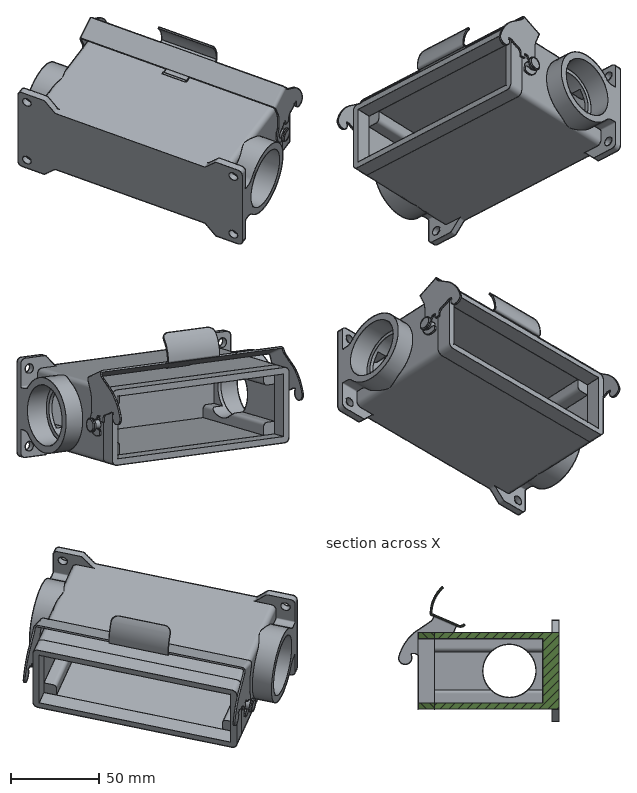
import cadquery as cq
import math

total_length = 143.5
half_length = total_length / 2

plate_height = 57.4
plate_thickness = 4.0
plate_corner_radius = 2.9
ear_width = 17.0
ear_bend_radius = 1.5
mount_hole_diameter = 5.5
mount_hole_spacing_x = 132.0
mount_hole_spacing_z = 44.9

body_length = 120.8
body_height = 43.6
body_depth = 79.8
body_corner_radius = 3.2
frame_depth = 9.2
frame_seam_y = body_depth - frame_depth
wall = 3.7
cavity_start_y = 9.3
cavity_length = body_length - 2 * wall
cavity_height = body_height - 2 * wall

post_length = 7.5
post_height = 7.3
post_edge_radius = 2.3

entry_y = 28.1
entry_outer_diameter = 43.3
entry_bore_diameter = 35.0
entry_bore_depth = 12.9
entry_through_diameter = 30.0
neck_height = 24.1
neck_fillet_radius = 5.7
foot_radius = 0.7

pin_y = 65.5
pin_diameter = 5.5
pin_head_diameter = 8.0
pin_head_thickness = 1.6
pin_head_chamfer = 0.6
pin_tip_x = 66.2

sheet = 1.0
lever_length = 125.4
lever_bend_radius = 2.0
web_width = 13.9
web_tilt = 23.4
web_back = (57.7, 26.4)
tab_overlap = 0.6
arm_straight_length = 9.8
arm_front_drop = 2.0
eye_lower_angle = -45.0
eye_upper_angle = 78.0
handle_width = 35.0
handle_corner_radius = 4.0
handle_radius = 20.5
handle_center = (52.5, 32.5)
handle_tip_angle = 48.4
lip_width = 14.8


def extrude_across(profile, width):
    """Extrude a closed YZ profile evenly to both sides of X = 0."""
    return profile.extrude(width / 2, both=True)


def rounded_block(length, height, y_start, y_end, radius):
    """Block along Y whose four long edges are rounded."""
    block = cq.Workplane("XY").box(length, y_end - y_start, height)
    return block.edges("|Y").fillet(radius).translate((0, (y_start + y_end) / 2, 0))


def make_mounting_plate():
    half_height = plate_height / 2
    waist_half_height = body_height / 2
    ear_x = half_length - ear_width
    waist_x = ear_x - (half_height - waist_half_height)
    right_side = [
        (waist_x, waist_half_height),
        (ear_x, half_height),
        (half_length, half_height),
        (half_length, -half_height),
        (ear_x, -half_height),
        (waist_x, -waist_half_height),
    ]
    left_side = [(-x, z) for x, z in reversed(right_side)]
    plate = cq.Workplane("XZ").polyline(right_side + left_side).close().extrude(-plate_thickness)
    plate = plate.edges("|Y").edges("<X or >X").fillet(plate_corner_radius)
    bend_limit_x = half_length - ear_width / 2
    ear_edges = cq.selectors.BoxSelector(
        (-bend_limit_x, 0, -plate_height), (bend_limit_x, plate_thickness, plate_height)
    )
    plate = plate.edges("|Y").edges(ear_edges).fillet(ear_bend_radius)
    holes = (
        cq.Workplane("XZ")
        .rect(mount_hole_spacing_x, mount_hole_spacing_z, forConstruction=True)
        .vertices()
        .circle(mount_hole_diameter / 2)
        .extrude(-plate_thickness)
    )
    return plate.cut(holes)


def make_entry_boss():
    """Round bosses of both ends as one bar, joined to the plate by a necked foot."""
    radius = entry_outer_diameter / 2
    half_neck = neck_height / 2
    fillet_z = half_neck + neck_fillet_radius
    reach = radius + neck_fillet_radius
    fillet_y = entry_y - math.sqrt(reach**2 - fillet_z**2)
    boss_share = radius / reach
    tangent_y = entry_y + (fillet_y - entry_y) * boss_share
    tangent_z = fillet_z * boss_share
    middle_angle = math.atan2(tangent_z - fillet_z, tangent_y - fillet_y) / 2 - math.pi / 4
    middle_y = fillet_y + neck_fillet_radius * math.cos(middle_angle)
    middle_z = fillet_z + neck_fillet_radius * math.sin(middle_angle)
    neck = (
        cq.Workplane("YZ")
        .moveTo(0, half_neck)
        .lineTo(fillet_y, half_neck)
        .threePointArc((middle_y, middle_z), (tangent_y, tangent_z))
        .lineTo(entry_y, 0)
        .lineTo(tangent_y, -tangent_z)
        .threePointArc((middle_y, -middle_z), (fillet_y, -half_neck))
        .lineTo(0, -half_neck)
        .close()
    )
    boss = cq.Workplane("YZ").center(entry_y, 0).circle(radius)
    return extrude_across(boss, total_length).union(extrude_across(neck, total_length))


def make_neck_foot():
    """Small round fillets above and below, where the neck meets the mounting plate."""
    edge_z = neck_height / 2
    outer_z = edge_z + foot_radius
    outer_y = plate_thickness + foot_radius
    arc_inset = foot_radius * (1 - math.sqrt(0.5))
    profile = (
        cq.Workplane("YZ")
        .moveTo(plate_thickness, edge_z)
        .lineTo(plate_thickness, outer_z)
        .threePointArc((plate_thickness + arc_inset, edge_z + arc_inset), (outer_y, edge_z))
        .close()
    )
    upper = extrude_across(profile, total_length)
    return upper.union(upper.mirror("XY"))


def make_cavity():
    """Pocket open to the front."""
    return cq.Workplane("XY").box(
        cavity_length, body_depth - cavity_start_y, cavity_height
    ).translate((0, (body_depth + cavity_start_y) / 2, 0))


def make_corner_posts():
    """Posts along the four inner corners of the housing pocket, rounded toward its middle."""
    depth = frame_seam_y - cavity_start_y
    posts = cq.Workplane("XY")
    for side_x, side_z in ((1, 1), (-1, 1), (-1, -1), (1, -1)):
        post = cq.Workplane("XY").box(post_length, depth, post_height)
        inner_x = "<X" if side_x > 0 else ">X"
        inner_z = "<Z" if side_z > 0 else ">Z"
        post = post.edges(f"({inner_x}) and ({inner_z})").fillet(post_edge_radius)
        center_x = side_x * (cavity_length - post_length) / 2
        center_z = side_z * (cavity_height - post_height) / 2
        posts = posts.add(post.translate((center_x, cavity_start_y + depth / 2, center_z)))
    return posts.combine()


def make_entry_bores():
    through = cq.Workplane("YZ").center(entry_y, 0).circle(entry_through_diameter / 2)
    bores = extrude_across(through, total_length)
    for side in (-1, 1):
        bore = (
            cq.Workplane("YZ", origin=(side * half_length, entry_y, 0))
            .circle(entry_bore_diameter / 2)
            .extrude(-side * entry_bore_depth)
        )
        bores = bores.union(bore)
    return bores


def make_pin(side):
    shaft_start = body_length / 2 - wall / 2
    head_start = pin_tip_x - pin_head_thickness
    shaft = (
        cq.Workplane("YZ", origin=(shaft_start, pin_y, 0))
        .circle(pin_diameter / 2)
        .extrude(head_start - shaft_start)
    )
    head = (
        cq.Workplane("YZ", origin=(head_start, pin_y, 0))
        .circle(pin_head_diameter / 2)
        .extrude(pin_head_thickness)
        .faces(">X")
        .chamfer(pin_head_chamfer)
    )
    pin = shaft.union(head)
    return pin if side > 0 else pin.mirror("YZ")


def make_housing():
    box = rounded_block(body_length, body_height, 0, frame_seam_y, body_corner_radius)
    body = box.union(make_entry_boss()).union(make_mounting_plate()).union(make_neck_foot())
    body = body.cut(make_cavity())
    body = body.union(make_corner_posts()).cut(make_entry_bores())
    for side in (-1, 1):
        body = body.union(make_pin(side))
    return body


def make_front_frame():
    block = rounded_block(body_length, body_height, frame_seam_y, body_depth, body_corner_radius)
    return block.cut(make_cavity())


def web_point(along, below):
    """YZ point measured along the tilted web from its back edge, and square below it."""
    tilt = math.radians(web_tilt)
    return (
        web_back[0] + along * math.cos(tilt) + below * math.sin(tilt),
        web_back[1] + along * math.sin(tilt) - below * math.cos(tilt),
    )


def eye_point(angle):
    """YZ point on the pin surface where the mouth of the snap eye starts."""
    turn = math.radians(angle)
    radius = pin_diameter / 2
    return (pin_y + radius * math.cos(turn), radius * math.sin(turn))


def make_arm_profile():
    """Side outline of the lever: web on top, locking hook in front, snap eye on the pin."""
    eye_lower = eye_point(eye_lower_angle)
    eye_upper = eye_point(eye_upper_angle)
    return (
        cq.Workplane("YZ")
        .moveTo(*web_back)
        .lineTo(*web_point(0, arm_straight_length))
        .threePointArc((62.0, 15.2), (62.1, 12.5))
        .lineTo(62.1, 6.5)
        .threePointArc((61.1, 3.9), (60.5, 1.1))
        .threePointArc((62.3, -4.3), (70.2, -5.5))
        .lineTo(70.2, -3.2)
        .lineTo(69.5, -2.5)
        .lineTo(*eye_lower)
        .threePointArc(eye_point(180), eye_upper)
        .lineTo(67.3, 4.2)
        .lineTo(68.2, 5.6)
        .lineTo(70.3, 5.6)
        .lineTo(70.6, 2.6)
        .lineTo(73.6, 2.6)
        .lineTo(73.6, 4.7)
        .threePointArc((74.3, 6.3), (76.3, 7.5))
        .lineTo(79.8, 8.8)
        .lineTo(81.5, 9.8)
        .lineTo(83.7, 9.8)
        .lineTo(83.7, 8.9)
        .threePointArc((87.1, 3.6), (91.0, 7.5))
        .threePointArc((87.7, 15.2), (82.0, 21.8))
        .lineTo(73.5, 27.5)
        .threePointArc((72.3, 28.4), web_point(web_width, arm_front_drop))
        .lineTo(*web_point(web_width, 0))
        .close()
    )


def make_lever_channel():
    """U-shaped channel with bent corners, tilted with the web."""
    reach = body_depth
    outer = cq.Workplane("XY").box(lever_length, 2 * reach, reach, centered=(True, True, False))
    outer = outer.translate((0, 0, -reach)).edges("|Y and >Z").fillet(lever_bend_radius)
    inner = cq.Workplane("XY").box(
        lever_length - 2 * sheet, 2 * reach, reach, centered=(True, True, False)
    )
    inner = inner.translate((0, 0, -reach - sheet)).edges("|Y and >Z").fillet(lever_bend_radius - sheet)
    channel = outer.cut(inner).rotate((0, 0, 0), (1, 0, 0), web_tilt)
    return channel.translate((0, web_back[0], web_back[1]))


def handle_point(radius, angle):
    turn = math.radians(angle)
    return (handle_center[0] + radius * math.cos(turn), handle_center[1] + radius * math.sin(turn))


def make_handle():
    """Curved thumb tab rising from the front edge of the web."""
    inner_radius = handle_radius - sheet
    middle_angle = handle_tip_angle / 2
    profile = (
        cq.Workplane("YZ")
        .moveTo(*handle_point(handle_radius, handle_tip_angle))
        .threePointArc(handle_point(handle_radius, middle_angle), handle_point(handle_radius, 0))
        .threePointArc((72.5, 31.4), web_point(web_width + tab_overlap, sheet))
        .lineTo(*web_point(web_width - tab_overlap, sheet))
        .lineTo(*web_point(web_width - tab_overlap, 0))
        .lineTo(*handle_point(inner_radius, 0))
        .threePointArc(
            handle_point(inner_radius, middle_angle), handle_point(inner_radius, handle_tip_angle)
        )
        .close()
    )
    handle = extrude_across(profile, handle_width)
    tip_y, tip_z = handle_point(handle_radius - sheet / 2, handle_tip_angle)
    for side in (-1, 1):
        corner = cq.selectors.NearestToPointSelector((side * handle_width / 2, tip_y, tip_z))
        handle = handle.edges(corner).fillet(handle_corner_radius)
    return handle


def make_lip():
    """Short upturned tab on the back edge of the web."""
    profile = (
        cq.Workplane("YZ")
        .moveTo(*web_point(tab_overlap, 0))
        .lineTo(*web_back)
        .threePointArc((56.0, 25.7), (54.1, 26.7))
        .lineTo(53.2, 26.0)
        .threePointArc((55.7, 24.7), web_point(0, sheet))
        .lineTo(*web_point(tab_overlap, sheet))
        .close()
    )
    return extrude_across(profile, lip_width)


def make_lever():
    arms = extrude_across(make_arm_profile(), lever_length)
    bail = arms.intersect(make_lever_channel())
    return bail.union(make_handle()).union(make_lip())


housing = make_housing()
front_frame = make_front_frame()
lever = make_lever()

result = cq.Compound.makeCompound(
    [*housing.solids().vals(), *front_frame.solids().vals(), *lever.solids().vals()]
)